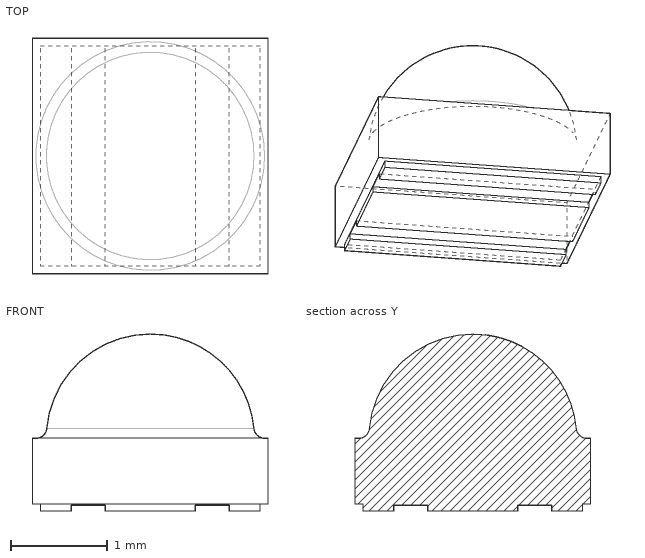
import cadquery as cq
import math

body_side = 2.45
total_height = 1.84
lens_radius = 1.083
pad_thickness = 0.07
body_top = total_height - lens_radius

blend_radius = 0.11

pad_length = 2.283
center_pad_width = 0.935
side_pad_width = 0.32
mask_thickness = 0.012
side_pad_offset = (pad_length - side_pad_width) / 2


def make_body():
    return (
        cq.Workplane("XY")
        .workplane(offset=pad_thickness)
        .rect(body_side, body_side)
        .extrude(body_top - pad_thickness)
    )


def make_lens():
    """Hemisphere whose foot flares out tangentially onto the body top."""
    center_distance = lens_radius + blend_radius
    foot_radius = math.sqrt(center_distance**2 - blend_radius**2)
    contact_angle = math.asin(blend_radius / center_distance)
    contact = (
        lens_radius * math.cos(contact_angle),
        lens_radius * math.sin(contact_angle),
    )
    middle_angle = (math.pi + contact_angle + 1.5 * math.pi) / 2
    blend_middle = (
        foot_radius + blend_radius * math.cos(middle_angle),
        blend_radius + blend_radius * math.sin(middle_angle),
    )
    dome_angle = (contact_angle + math.pi / 2) / 2
    dome_middle = (
        lens_radius * math.cos(dome_angle),
        lens_radius * math.sin(dome_angle),
    )
    return (
        cq.Workplane("XZ", origin=(0, 0, body_top))
        .lineTo(foot_radius, 0)
        .threePointArc(blend_middle, contact)
        .threePointArc(dome_middle, (0, lens_radius))
        .close()
        .revolve(360, (0, 0), (0, 1))
    )


def make_pad(x_center, width):
    return (
        cq.Workplane("XY")
        .center(x_center, 0)
        .rect(width, pad_length)
        .extrude(pad_thickness)
    )


def make_mask():
    return (
        cq.Workplane("XY")
        .workplane(offset=pad_thickness - mask_thickness)
        .rect(pad_length, pad_length)
        .extrude(mask_thickness)
    )


result = make_body().union(make_lens()).union(make_mask())
result = result.union(make_pad(0, center_pad_width))
for side in (-1, 1):
    result = result.union(make_pad(side * side_pad_offset, side_pad_width))